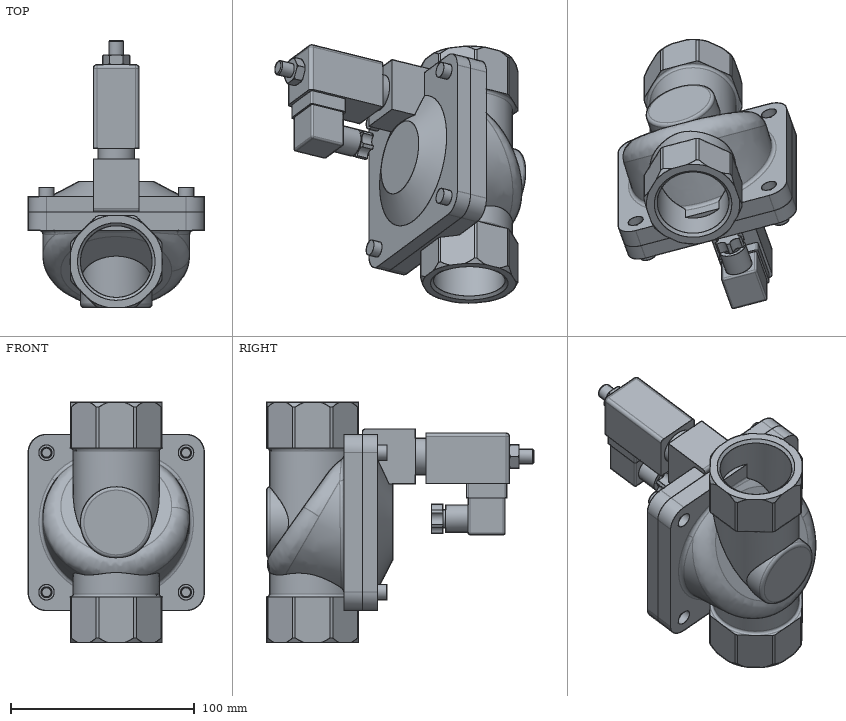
import cadquery as cq
import math


pipe_length = 131.0
pipe_diameter = 47.0
bore_diameter = 39.0
bore_mouth_diameter = 42.2
socket_sides = 8
socket_flats = 50.0
socket_corners = 53.5
socket_end_diameter = 50.8
socket_length = 25.0
socket_end_bevel = 2.6
socket_root_fillet = 1.6

flange_side = 96.0
flange_corner_radius = 10.0
flange_bottom = 17.0
flange_joint = 27.0
flange_top = 35.4
screw_spacing = flange_side - 2 * flange_corner_radius

bowl_radius = 40.0
bowl_root_fillet = 2.0
bowl_lean = 0.23
bowl_depth = 72.8
slope_angle = 54.6
slope_center = -10.9
bowl_edge_fillet = 9.9

boss_diameter = 39.0
boss_end = -socket_flats / 2
boss_fillet = 1.9

head_diameter = 8.5
head_height = 5.1
shank_diameter = 6.0
shank_tip_diameter = 5.0
screw_tip = 21.2
body_hole_diameter = 8.5

dome_base_diameter = 72.8
dome_top_diameter = 40.7
dome_top = 43.6
block_width = 25.0
block_height = 30.0
block_end = 55.9
block_fillet = 1.7

solenoid_z = 36.0
neck_diameter = 20.0
coil_start = 61.7
coil_length = 45.5
coil_end = coil_start + coil_length
coil_bottom = 21.1
coil_top = 48.7
coil_fillet = 2.0
nut_flats = 13.0
nut_height = 5.2
nut_bevel = 0.6
spindle_diameter = 8.0
spindle_tip_diameter = 6.7
spindle_end = 120.5

plug_y = 94.7
plug_fillet = 1.0
collar_side = 22.0
collar_height = 7.7
plug_side = 20.1
plug_height = 20.1
gland_z = 2.0
gland_diameter = 15.0
gland_end = 72.5
gland_neck_diameter = 10.0
knob_diameter = 16.0
knob_start = 64.6
knob_end = 70.9
knob_scallops = 6
scallop_radius = 3.5
scallop_offset = 9.0


def y_plane(y, z=0.0):
    """Workplane at Y = y that extrudes toward +Y; local x is X and local y is -Z."""
    return cq.Workplane(cq.Plane(origin=(0, y, z), xDir=(1, 0, 0), normal=(0, 1, 0)))


def y_cylinder(diameter, start, end, z=0.0):
    return y_plane(start, z).circle(diameter / 2).extrude(end - start)


def flange_plate(start, end):
    plate = y_plane(start).rect(flange_side, flange_side).extrude(end - start)
    return plate.edges("|Y").fillet(flange_corner_radius)


def screw_points():
    half = screw_spacing / 2
    return [(x, z) for x in (-half, half) for z in (-half, half)]


def fillet_ring(radius, fillet):
    """Concave ring around Z whose wide face lies on Z = 0, going down to a cylinder of this radius."""
    inner_radius = radius - fillet
    ring = (
        cq.Workplane("XZ")
        .moveTo(inner_radius, 0)
        .lineTo(radius + fillet, 0)
        .radiusArc((radius, -fillet), -fillet)
        .lineTo(inner_radius, -fillet)
        .close()
    )
    return ring.revolve(360, (0, 0, 0), (0, 1, 0))


def upper_socket():
    """Octagon with its corners turned off and its outer end bevelled."""
    start = pipe_length / 2 - socket_length
    octagon_corners = socket_flats / math.cos(math.pi / socket_sides)
    octagon = cq.Workplane("XY", origin=(0, 0, start)).polygon(socket_sides, octagon_corners)
    octagon = octagon.extrude(socket_length).rotate((0, 0, 0), (0, 0, 1), 180 / socket_sides)
    envelope = (
        cq.Workplane("XZ")
        .moveTo(0, start)
        .lineTo(socket_corners / 2, start)
        .lineTo(socket_corners / 2, pipe_length / 2 - socket_end_bevel)
        .lineTo(socket_end_diameter / 2, pipe_length / 2)
        .lineTo(0, pipe_length / 2)
        .close()
        .revolve(360, (0, 0, 0), (0, 1, 0))
    )
    root = fillet_ring(pipe_diameter / 2, socket_root_fillet).translate((0, 0, start))
    return octagon.intersect(envelope).union(root)


def bored_pipe():
    """Pipe with both sockets, bored from end to end."""
    lower_end = cq.Workplane("XY", origin=(0, 0, -pipe_length / 2))
    pipe = lower_end.circle(pipe_diameter / 2).extrude(pipe_length)
    socket = upper_socket()
    pipe = pipe.union(socket).union(socket.mirror("XY"))
    bore = lower_end.circle(bore_diameter / 2).extrude(pipe_length)
    mouth_bevel = (bore_mouth_diameter - bore_diameter) / 2
    cone = cq.Solid.makeCone(bore_diameter / 2, bore_mouth_diameter / 2, mouth_bevel)
    mouth = cq.Workplane(cone).translate((0, 0, pipe_length / 2 - mouth_bevel))
    return pipe.cut(bore).cut(mouth).cut(mouth.mirror("XY"))


def bowl():
    """Leaning cylinder below the flange joint, cut by the sloping face and rounded along that edge."""
    start_z = -bowl_lean * (flange_joint - flange_bottom)
    rim = y_plane(flange_joint, start_z).circle(bowl_radius).wires().val()
    far_rim = rim.translate(cq.Vector(0, -bowl_depth, bowl_lean * bowl_depth))
    leaning_cylinder = cq.Workplane(cq.Solid.makeLoft([rim, far_rim], True))
    angle = math.radians(slope_angle)
    slope = cq.Plane(
        origin=(0, slope_center, 0), xDir=(1, 0, 0), normal=(0, -math.sin(angle), math.cos(angle))
    )
    cut_size = 4 * bowl_radius
    cutter = cq.Workplane(slope).rect(cut_size, cut_size).extrude(cut_size)
    shape = leaning_cylinder.cut(cutter)
    sloping_face = shape.faces(cq.selectors.NearestToPointSelector((0, slope_center, 0)))
    return sloping_face.edges().fillet(bowl_edge_fillet)


def flanged_bowl():
    shape = flange_plate(flange_bottom, flange_joint).union(bowl())
    reach = bowl_radius + bowl_root_fillet
    root_edges = cq.selectors.BoxSelector(
        (-reach, flange_bottom - bowl_root_fillet, -reach), (reach, flange_bottom + bowl_root_fillet, reach)
    )
    return shape.edges(root_edges).fillet(bowl_root_fillet)


def valve_body():
    boss = y_cylinder(boss_diameter, boss_end, flange_bottom).faces("<Y").edges().fillet(boss_fillet)
    body = flanged_bowl().union(boss).union(bored_pipe())
    holes = y_plane(flange_bottom).pushPoints(screw_points())
    return body.cut(holes.circle(body_hole_diameter / 2).extrude(flange_joint - flange_bottom))


def cover_with_pilot_block():
    cover = flange_plate(flange_joint, flange_top)
    dome = cq.Solid.makeCone(
        dome_base_diameter / 2,
        dome_top_diameter / 2,
        dome_top - flange_top,
        pnt=cq.Vector(0, flange_top, 0),
        dir=cq.Vector(0, 1, 0),
    )
    block = y_plane(flange_joint, solenoid_z).rect(block_width, block_height).extrude(block_end - flange_joint)
    block = block.faces("<Y").edges(">Z").fillet(block_fillet)
    cover = cover.union(cq.Workplane(dome)).union(block)
    holes = y_plane(flange_joint).pushPoints(screw_points())
    return cover.cut(holes.circle(shank_diameter / 2).extrude(flange_top - flange_joint))


def cover_screw(x, z):
    tip_bevel = (shank_diameter - shank_tip_diameter) / 2
    shank = y_cylinder(shank_diameter, screw_tip, flange_top).faces("<Y").chamfer(tip_bevel)
    head = y_cylinder(head_diameter, flange_top, flange_top + head_height)
    return shank.union(head).translate((x, 0, z))


def coil():
    length = coil_end - coil_start
    middle_z = (coil_bottom + coil_top) / 2
    box = y_plane(coil_start, middle_z).rect(block_width, coil_top - coil_bottom).extrude(length)
    box = box.edges("(>Z and |Y) or (>Y and (not <Z))").fillet(coil_fillet)
    return box.union(y_cylinder(neck_diameter, block_end, coil_start, solenoid_z))


def spindle_with_nut():
    nut_corners = nut_flats / math.cos(math.pi / 6)
    nut = y_plane(coil_end, solenoid_z).polygon(6, nut_corners).extrude(nut_height)
    nut_envelope = y_cylinder(nut_corners, coil_end, coil_end + nut_height, solenoid_z)
    nut = nut.intersect(nut_envelope.faces("<Y or >Y").chamfer(nut_bevel))
    tip_bevel = (spindle_diameter - spindle_tip_diameter) / 2
    spindle = y_cylinder(spindle_diameter, coil_end, spindle_end, solenoid_z)
    return nut.union(spindle.faces(">Y").chamfer(tip_bevel))


def plug():
    collar_bottom = coil_bottom - collar_height
    collar = cq.Workplane("XY", origin=(0, plug_y, collar_bottom)).rect(collar_side, collar_side)
    collar = collar.extrude(collar_height).edges("|Z").fillet(plug_fillet)
    housing = cq.Workplane("XY", origin=(0, plug_y, collar_bottom - plug_height)).rect(plug_side, plug_side)
    housing = housing.extrude(plug_height).edges("|Z or <Z").fillet(plug_fillet)
    return collar.union(housing)


def cable_gland():
    gland = y_cylinder(gland_diameter, gland_end, plug_y, gland_z)
    neck = y_cylinder(gland_neck_diameter, knob_start, gland_end, gland_z)
    knob = y_cylinder(knob_diameter, knob_start, knob_end, gland_z)
    scallops = y_plane(knob_start, gland_z).polarArray(scallop_offset, 0, 360, knob_scallops)
    knob = knob.cut(scallops.circle(scallop_radius).extrude(knob_end - knob_start))
    return gland.union(neck).union(knob)


def solenoid():
    return coil().union(spindle_with_nut()).union(plug()).union(cable_gland())


body = valve_body()
cover = cover_with_pilot_block()
screws = [cover_screw(x, z).val() for x, z in screw_points()]
actuator = solenoid()

result = cq.Compound.makeCompound([body.val(), cover.val(), *screws, actuator.val()])